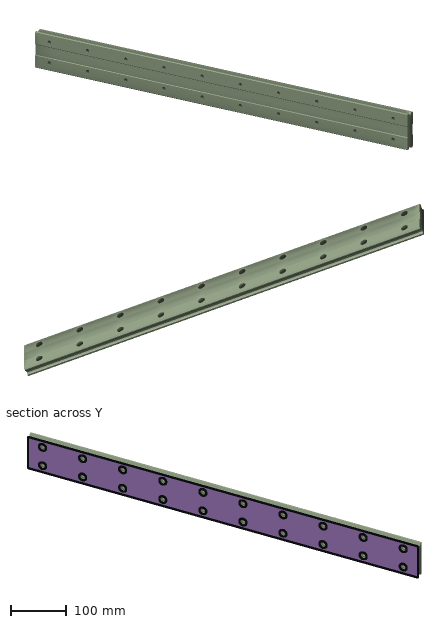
import cadquery as cq
import math

length = 780.0
thickness = 19.0
height = 69.0

waist_floor_height = 20.0
waist_depth = 1.0

groove_depth = 4.0
groove_back_y = 5.4
groove_bend_y = 2.4
groove_floor_back_y = 0.9
groove_front_y = -5.5
shallow_flank_angle = 31.0
steep_flank_angle = 60.0

back_edge_chamfer = 2.4
front_edge_chamfer = 0.9

hole_count = 10
hole_pitch = 80.0
row_spacing = 40.0
hole_diameter = 7.0
counterbore_diameter = 13.0
counterbore_depth = 8.0


def make_blank():
    bar = cq.Workplane("XY").box(length, thickness, height)
    bar = bar.faces(">Y").edges("|X").chamfer(back_edge_chamfer)
    return bar.faces("<Y").edges("|X").chamfer(front_edge_chamfer)


def extrude_profile(points):
    """Prism along the whole bar from a closed (y, z) outline."""
    return cq.Workplane("YZ", origin=(-length / 2, 0, 0)).polyline(points).close().extrude(length)


def make_back_waist():
    face_y = thickness / 2
    floor_y = face_y - waist_depth
    floor_z = waist_floor_height / 2
    mouth_z = floor_z + waist_depth
    return extrude_profile([(face_y, -mouth_z), (floor_y, -floor_z), (floor_y, floor_z), (face_y, mouth_z)])


def make_top_groove():
    top_z = height / 2
    bend_depth = (groove_back_y - groove_bend_y) * math.tan(math.radians(shallow_flank_angle))
    floor_z = top_z - groove_depth
    step_depth = bend_depth + groove_bend_y - groove_floor_back_y
    floor_front_y = groove_front_y + groove_depth / math.tan(math.radians(steep_flank_angle))
    return extrude_profile(
        [
            (groove_back_y, top_z),
            (groove_bend_y, top_z - bend_depth),
            (groove_floor_back_y, top_z - step_depth),
            (groove_floor_back_y, floor_z),
            (floor_front_y, floor_z),
            (groove_front_y, top_z),
        ]
    )


def drill_holes(bar):
    return (
        bar.faces(">Y")
        .workplane(origin=(0, thickness / 2, 0))
        .rarray(hole_pitch, row_spacing, hole_count, 2)
        .cboreHole(hole_diameter, counterbore_diameter, counterbore_depth)
    )


waist = make_back_waist()
groove = make_top_groove()
bar = make_blank()
bar = bar.cut(waist).cut(waist.mirror("XZ"))
bar = bar.cut(groove).cut(groove.mirror("XY"))
result = drill_holes(bar)